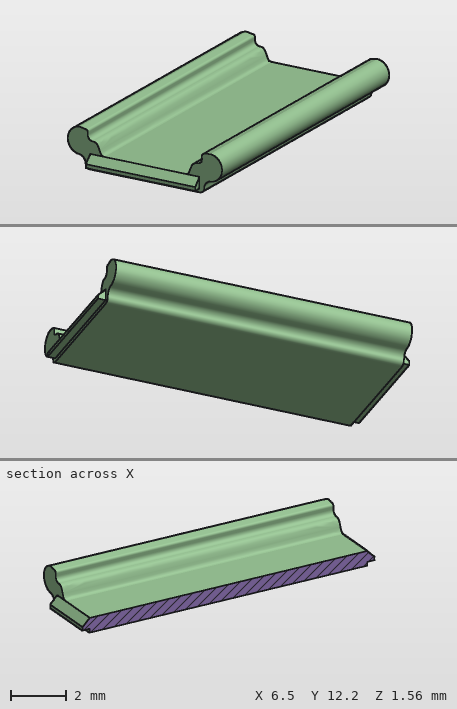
import cadquery as cq
import math

half_width = 3.25
body_length = 11.6

bead_radius = 0.53
bead_bottom_z = 0.5
bead_center = (half_width - bead_radius, bead_bottom_z + bead_radius)

land_start_x = 2.75
land_slope = math.radians(10)
land_corner_radius = 0.1
inner_wall_x = 2.4

step_z = 1.1
step_radius = 0.2
s_curve_middle = (1.91, 0.82)
s_curve_steepest = math.radians(68)
floor_z = 0.6
floor_half_width = 1.7

bottom_half_width = 2.3
bottom_radius = 0.2
neck_radius = 0.3

tongue_half_width = bottom_half_width
tongue_projection = 0.3
tongue_bottom_z = 0.15
tongue_tip_z = floor_z - tongue_projection

RIGHT = 0
UP = math.pi / 2
LEFT = math.pi
DOWN = -math.pi / 2


def polar(center, radius, angle):
    """Point on a circle in the XZ plane."""
    return (center[0] + radius * math.cos(angle), center[1] + radius * math.sin(angle))


def add_arc(outline, center, radius, start, end):
    """Continue the outline, already at the arc's start, along the arc to its end."""
    middle = polar(center, radius, (start + end) / 2)
    return outline.threePointArc(middle, polar(center, radius, end))


def half_section():
    """The +X half of the cross-section, closed along the centre line."""
    bottom_center = (bottom_half_width, bottom_radius)

    neck_x = bottom_half_width + bottom_radius + neck_radius
    neck_offset = neck_x - bead_center[0]
    neck_drop = math.sqrt((bead_radius + neck_radius) ** 2 - neck_offset**2)
    neck_center = (neck_x, bead_center[1] - neck_drop)
    neck_angle = math.atan2(neck_drop, -neck_offset)

    land_angle = math.acos((land_start_x - bead_center[0]) / bead_radius)
    land_start = polar(bead_center, bead_radius, land_angle)
    corner_x = inner_wall_x + land_corner_radius
    corner_drop = (land_start_x - corner_x) * math.tan(land_slope)
    corner_z = land_start[1] - corner_drop - land_corner_radius / math.cos(land_slope)
    corner_center = (corner_x, corner_z)
    corner_angle = UP + land_slope

    step_center = (inner_wall_x - step_radius, step_z + step_radius)
    s_curve_start = polar(step_center, step_radius, DOWN)
    s_curve_end = (floor_half_width, floor_z)
    level = (-1, 0)
    steep = (-math.cos(s_curve_steepest), -math.sin(s_curve_steepest))

    outline = cq.Workplane("XZ", origin=(0, body_length / 2, 0)).lineTo(bottom_half_width, 0)
    outline = add_arc(outline, bottom_center, bottom_radius, DOWN, RIGHT)
    outline = outline.lineTo(*polar(neck_center, neck_radius, LEFT))
    outline = add_arc(outline, neck_center, neck_radius, LEFT, neck_angle)
    outline = add_arc(outline, bead_center, bead_radius, neck_angle - LEFT, land_angle)
    outline = outline.lineTo(*polar(corner_center, land_corner_radius, corner_angle))
    outline = add_arc(outline, corner_center, land_corner_radius, corner_angle, LEFT)
    outline = outline.lineTo(*polar(step_center, step_radius, RIGHT))
    outline = add_arc(outline, step_center, step_radius, RIGHT, DOWN)
    outline = outline.spline([s_curve_start, s_curve_middle], tangents=[level, steep])
    outline = outline.spline([s_curve_middle, s_curve_end], tangents=[steep, level])
    return outline.lineTo(0, floor_z).close()


def channel():
    """Both halves of the rail body, centred along Y."""
    half = half_section().extrude(body_length)
    return half.union(half.mirror("YZ")).clean()


def tongues():
    """One bar through the whole body that projects as a bevelled tongue at each end."""
    body_end = body_length / 2
    tip = body_end + tongue_projection
    side = [
        (-tip, tongue_bottom_z),
        (tip, tongue_bottom_z),
        (tip, tongue_tip_z),
        (body_end, floor_z),
        (-body_end, floor_z),
        (-tip, tongue_tip_z),
    ]
    return cq.Workplane("YZ").polyline(side).close().extrude(tongue_half_width, both=True)


result = channel().union(tongues()).clean()